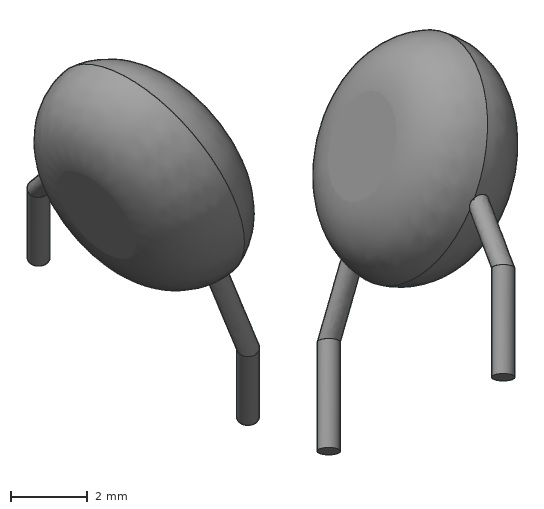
import cadquery as cq
import math

total_height = 10.4
disc_radius = 3.4
disc_thickness = 3.5
edge_radius = 2.0
disc_center_z = total_height - disc_radius

front_y = -disc_thickness / 2
back_y = disc_thickness / 2
rim_y = front_y + edge_radius

wire_diameter = 0.6
overall_width = 8.11
leg_offset = (overall_width - wire_diameter) / 2
leg_height = 3.0
arm_rise = 3.0
arm_slope = 0.51


def make_disc():
    """Revolve the half profile: a quarter arc in front, a shorter arc behind."""
    front_flat_radius = disc_radius - edge_radius
    diagonal = edge_radius * math.sqrt(0.5)

    back_arc_center_y = back_y - edge_radius
    back_arc_start = math.asin((rim_y - back_arc_center_y) / edge_radius)
    back_arc_middle = (back_arc_start + math.pi / 2) / 2
    back_flat_radius = disc_radius - edge_radius * math.cos(back_arc_start)
    back_middle_point = (
        back_flat_radius + edge_radius * math.cos(back_arc_middle),
        back_arc_center_y + edge_radius * math.sin(back_arc_middle),
    )

    profile = (
        cq.Workplane("XY")
        .moveTo(0, front_y)
        .lineTo(front_flat_radius, front_y)
        .threePointArc((front_flat_radius + diagonal, rim_y - diagonal), (disc_radius, rim_y))
        .threePointArc(back_middle_point, (back_flat_radius, back_y))
        .lineTo(0, back_y)
        .close()
    )
    return profile.revolve(360, (0, 0, 0), (0, 1, 0)).translate((0, 0, disc_center_z))


def make_leg(side):
    """Vertical round leg; side is -1 or +1 along X."""
    return cq.Workplane("XY").center(side * leg_offset, 0).circle(wire_diameter / 2).extrude(leg_height)


def make_arm(side, disc):
    """Slanted arm whose horizontal sections are circles, ending on the disc surface."""
    inward_run = arm_rise * arm_slope
    arm = (
        cq.Workplane("XY", origin=(side * leg_offset, 0, leg_height))
        .circle(wire_diameter / 2)
        .workplane(offset=arm_rise)
        .center(-side * inward_run, 0)
        .circle(wire_diameter / 2)
        .loft(ruled=True)
    )
    return arm.cut(disc)


disc = make_disc()
legs = []
arms = []
for side in (-1, 1):
    legs.append(make_leg(side).solids().val())
    arms.append(make_arm(side, disc).solids().val())

result = cq.Compound.makeCompound([disc.val(), *legs, *arms])